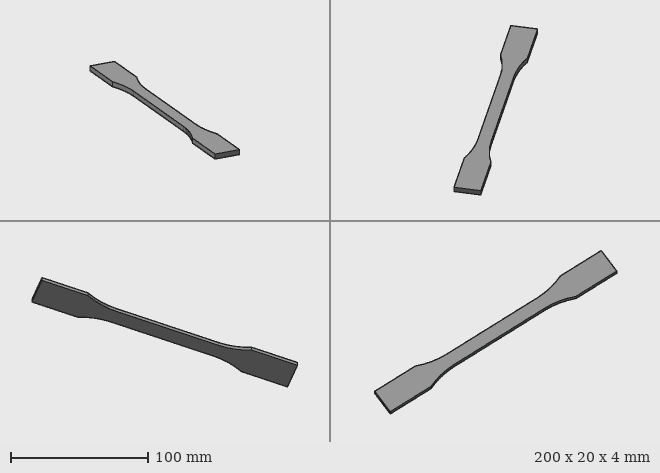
import cadquery as cq
import math

length = 200.0
grip_width = 20.0
gauge_width = 10.0
gauge_length = 80.0
thickness = 4.0
shoulder_radius = 60.0

shoulder_rise = (grip_width - gauge_width) / 2
shoulder_angle = math.acos(1 - shoulder_rise / shoulder_radius)


def shoulder_point(angle, x_side, y_side):
    """Point on a shoulder arc, at an angle measured from its gauge end."""
    x = gauge_length / 2 + shoulder_radius * math.sin(angle)
    y = gauge_width / 2 + shoulder_radius * (1 - math.cos(angle))
    return (x_side * x, y_side * y)


def shoulder_cut(y_side):
    """Waist cut from one long side: gauge edge with a shoulder arc at each end."""
    return (
        cq.Workplane("XY")
        .moveTo(*shoulder_point(shoulder_angle, -1, y_side))
        .threePointArc(
            shoulder_point(shoulder_angle / 2, -1, y_side),
            shoulder_point(0, -1, y_side),
        )
        .lineTo(*shoulder_point(0, 1, y_side))
        .threePointArc(
            shoulder_point(shoulder_angle / 2, 1, y_side),
            shoulder_point(shoulder_angle, 1, y_side),
        )
        .close()
        .extrude(thickness / 2, both=True)
    )


result = cq.Workplane("XY").box(length, grip_width, thickness)
for side in (-1, 1):
    result = result.cut(shoulder_cut(side))